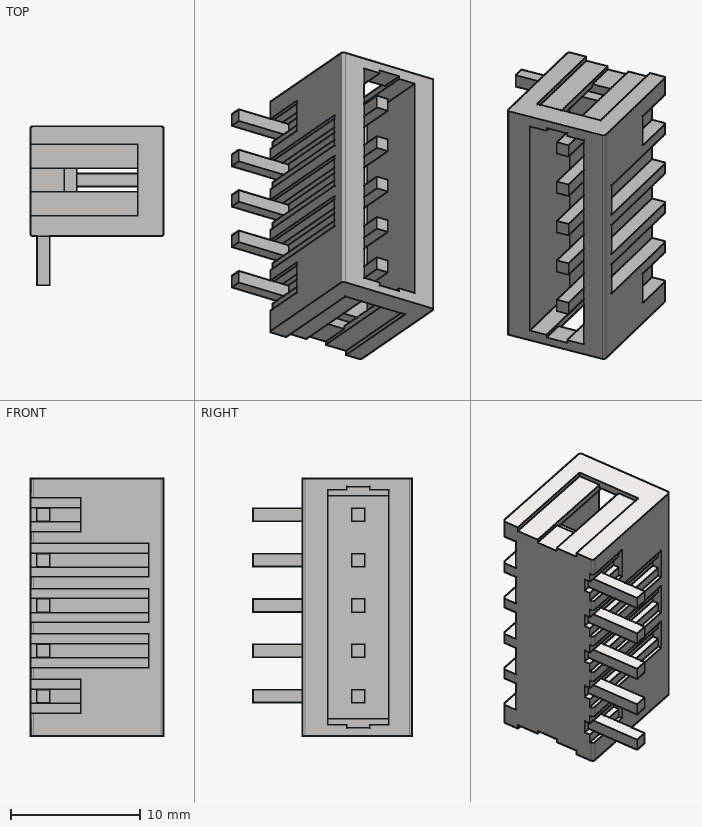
import cadquery as cq


length = 10.3
depth = 8.5
height = 19.9
edge_radius = 0.22

key_y = 4.34
cavity_width = 4.7
end_wall = 0.88
cavity_floor_x = 2.6
pedestal_x = 3.6
pedestal_inset = 1.35

recess_length = 8.3
recess_width = 5.53
recess_depth = 0.35
key_width = 1.8
key_depth = 0.64

pin_count = 5
pitch = 3.5
row_offset = 0.14
pin_size = 1.01
pin_x = 1.01
tail_length = 3.8
tip_setback = 1.0
tail_end_y = -tail_length
pin_zs = [row_offset + pitch * (i - (pin_count - 1) / 2) for i in range(pin_count)]

groove_height = 2.6
groove_depth = 0.3
channel_height = 1.1
channel_depth = 0.8
notch_depth = 1.21
short_groove = 3.88
long_groove = 9.15


def box(x_range, y_range, z_range):
    """Axis-aligned box between the given limits."""
    sizes = [high - low for low, high in (x_range, y_range, z_range)]
    corner = (x_range[0], y_range[0], z_range[0])
    return cq.Workplane("XY").box(*sizes, centered=False).translate(corner)


def around(center, size):
    """Limits of a span of the given size about its centre."""
    return (center - size / 2, center + size / 2)


def housing_block():
    block = box((0, length), (0, depth), around(0, height))
    return block.edges("|Z").fillet(edge_radius)


def mating_cavity():
    """Cavity open at +X, with a key slot at each end and a solid pedestal on its floor."""
    x_range = (cavity_floor_x, length)
    cavity_y = around(key_y, cavity_width)
    cavity = box(x_range, cavity_y, around(0, height - 2 * end_wall))
    key_slot = box(x_range, around(key_y, key_width), around(0, height - 2 * key_depth))
    pedestal = box((cavity_floor_x, pedestal_x), cavity_y, around(0, height - 2 * pedestal_inset))
    return cavity.union(key_slot).cut(pedestal)


def end_recess(side):
    """Stepped recess in one end; its inner step opens into the cavity."""
    face_z = side * height / 2
    x_range = (0, recess_length)
    outer = box(x_range, around(key_y, recess_width), around(face_z, 2 * recess_depth))
    inner = box(x_range, around(key_y, key_width), around(face_z, 2 * key_depth))
    return outer.union(inner)


def pin_reliefs(z, groove_length):
    """Stepped groove in the front face and plain notch in the rear face at one pin."""
    x_range = (0, groove_length)
    groove = box(x_range, (0, groove_depth), around(z, groove_height))
    channel = box(x_range, (0, channel_depth), around(z, channel_height))
    notch = box(x_range, (depth - notch_depth, depth), around(z, groove_height))
    return groove.union(channel).union(notch)


def pin(z):
    """Right-angle pin: tail along -Y, contact along +X."""
    z_range = around(z, pin_size)
    contact_y = around(key_y, pin_size)
    tail_x = around(pin_x, pin_size)
    tail = box(tail_x, (tail_end_y, contact_y[1]), z_range)
    contact = box((tail_x[0], length - tip_setback), contact_y, z_range)
    return tail.union(contact)


result = housing_block().cut(mating_cavity())

for side in (-1, 1):
    result = result.cut(end_recess(side))

for index, z in enumerate(pin_zs):
    is_end_pin = index in (0, pin_count - 1)
    result = result.cut(pin_reliefs(z, short_groove if is_end_pin else long_groove))

for z in pin_zs:
    result = result.union(pin(z))